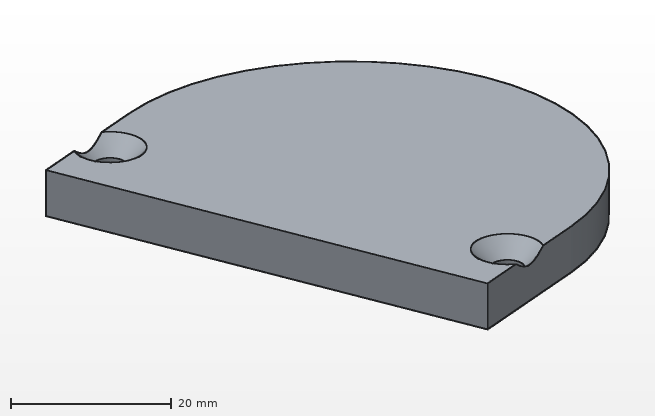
import cadquery as cq

width = 64.7
thickness = 6.35
straight_length = 20.0
radius = width / 2

hole_diameter = 4.3
countersink_diameter = 9.2
countersink_angle = 90.0
hole_edge_distance = 3.25
hole_front_distance = 10.0
hole_x = radius - hole_edge_distance

plate = (
    cq.Workplane("XY")
    .moveTo(-radius, 0)
    .lineTo(radius, 0)
    .lineTo(radius, straight_length)
    .threePointArc((0, straight_length + radius), (-radius, straight_length))
    .close()
    .extrude(thickness)
)

result = (
    plate.faces(">Z")
    .workplane(origin=(0, 0, thickness))
    .pushPoints([(-hole_x, hole_front_distance), (hole_x, hole_front_distance)])
    .cskHole(hole_diameter, countersink_diameter, countersink_angle)
)